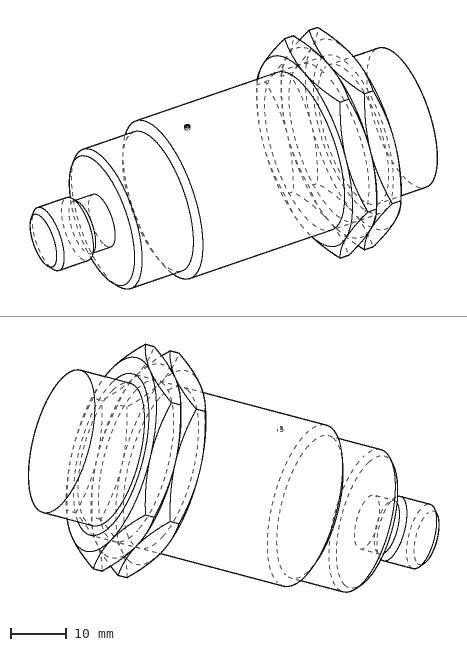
import cadquery as cq
import math

total_length = 73.5

thread_diameter = 30.0
body_diameter = 26.5
plug_diameter = 12.0
neck_diameter = 10.0
chamfer = 1.0

sensing_head_length = 10.0
thread_length = 40.0
rear_cap_length = 11.5
neck_length = 4.0

lamp_diameter = 1.0
lamp_setback = 6.0

nut_width = 36.0
nut_thickness = 5.0
nut_count = 2
nut_chamfer_angle = 30.0

face_y = total_length / 2
thread_start_y = face_y - sensing_head_length
thread_end_y = thread_start_y - thread_length
cap_end_y = thread_end_y - rear_cap_length
plug_start_y = cap_end_y - neck_length
tip_y = -total_length / 2


def make_sensor():
    """Turned sensor body with its connector plug and indicator lamp, centered on the Y axis."""
    thread_radius = thread_diameter / 2
    body_radius = body_diameter / 2
    plug_radius = plug_diameter / 2
    neck_radius = neck_diameter / 2
    profile = [
        (0, face_y),
        (body_radius, face_y),
        (body_radius, thread_start_y),
        (thread_radius, thread_start_y),
        (thread_radius, thread_end_y + chamfer),
        (body_radius, thread_end_y),
        (body_radius, cap_end_y + chamfer),
        (body_radius - chamfer, cap_end_y),
        (neck_radius, cap_end_y),
        (neck_radius, plug_start_y),
        (plug_radius, plug_start_y - chamfer),
        (plug_radius, tip_y + chamfer),
        (plug_radius - chamfer, tip_y),
        (0, tip_y),
    ]
    turned = cq.Workplane("XY").polyline(profile).close().revolve(360, (0, 0), (0, 1))
    return add_lamp(turned)


def add_lamp(sensor):
    """Sink a round pocket into the barrel and leave a half ball in it, its top level with the thread."""
    lamp_radius = lamp_diameter / 2
    lamp_y = thread_end_y + lamp_setback
    lamp_base_z = thread_diameter / 2 - lamp_radius
    pocket = cq.Workplane("XY", origin=(0, lamp_y, lamp_base_z)).circle(lamp_radius).extrude(lamp_diameter)
    ball = cq.Workplane("XY").sphere(lamp_radius).translate((0, lamp_y, lamp_base_z))
    return sensor.cut(pocket.cut(ball))


def make_nut(front_y):
    """Hexagon nut, chamfered on both faces, reaching from front_y toward -Y."""
    flat_radius = nut_width / 2
    corner_radius = nut_width / math.sqrt(3)
    chamfer_depth = (corner_radius - flat_radius) * math.tan(math.radians(nut_chamfer_angle))
    back_y = front_y - nut_thickness
    hexagon = (
        cq.Workplane("XZ", origin=(0, front_y, 0))
        .polygon(6, 2 * corner_radius)
        .circle(thread_diameter / 2)
        .extrude(nut_thickness)
    )
    envelope = (
        cq.Workplane("XY")
        .polyline([
            (0, front_y),
            (flat_radius, front_y),
            (corner_radius, front_y - chamfer_depth),
            (corner_radius, back_y + chamfer_depth),
            (flat_radius, back_y),
            (0, back_y),
        ])
        .close()
        .revolve(360, (0, 0), (0, 1))
    )
    return hexagon.intersect(envelope)


sensor = make_sensor()
nuts = [make_nut(thread_start_y - index * nut_thickness) for index in range(nut_count)]

result = cq.Compound.makeCompound([sensor.val(), *[nut.val() for nut in nuts]])